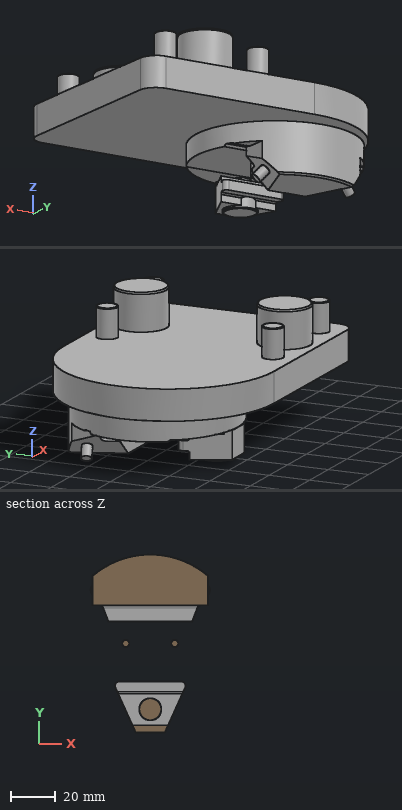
import cadquery as cq


PLATE_WIDTH = 104.0
PLATE_LENGTH = 139.0
PLATE_THICKNESS = 15.0
PLATE_CORNER_RADIUS = 8.3
FLANGE_RADIUS = 40.0
PLATE_END_RADIUS = PLATE_WIDTH / 2
PLATE_ARC_X = PLATE_END_RADIUS - FLANGE_RADIUS
PLATE_RIGHT_X = PLATE_LENGTH - FLANGE_RADIUS

BOSS_TO_PLATE_EDGE = 39.6
BOSS_X = PLATE_RIGHT_X - BOSS_TO_PLATE_EDGE
BOSS_Y = 35.5
BOSS_DIAMETER = 25.0
BOSS_HEIGHT = 18.5
BOSS_CHAMFER_HEIGHT = 0.9
BOSS_CHAMFER_INSET = 0.4
DOWEL_DX = 24.5
DOWEL_Y = 41.0
DOWEL_DIAMETER = 10.0
DOWEL_HEIGHT = 14.5
DOWEL_CHAMFER = 0.4

PAD_Z = -10.0
RIM_Z = -9.2
PAD_FRONT_Y = -20.8
PAD_BACK_Y = 15.6
PAD_SLOPE_RUN = 1.0
RELIEF_Z = -8.8
RELIEF_BACK_Y = 19.5

PAD_PIN_X = 11.0
PAD_PIN_DIAMETER = 3.3
PAD_PIN_Z = -16.0

FIXED_HALF_WIDTH = 26.0
FIXED_FACE_Y = 17.1
FIXED_LIP_Y = 9.8
FIXED_LIP_Z = -16.9
FIXED_BOTTOM_Z = -24.8
FIXED_STEP_FILLET = 1.0
FIXED_EDGE_CHAMFER = 0.9

FLANK_START_Z = -13.05
FLANK_FALL_X = 0.88
FLANK_FALL_Y = 1 / 3

STOP_PIN_DIAMETER = 5.0
STOP_PIN_LENGTH = 6.43
STOP_PIN_ROOT = 2.0
STOP_PIN_X = 20.8
STOP_PIN_Y = 25.1

MOVING_OUTER_Y = -40.0
MOVING_FACE_Y = -22.5
MOVING_OUTER_HALF_WIDTH = 6.6
MOVING_TAPER = 0.452
MOVING_TOP_Z = -10.9
MOVING_BOTTOM_Z = -22.95
HEEL_INNER_Y = -36.6

NOSE_TIP_Y = -17.0
NOSE_TOP_Z = -13.95
NOSE_BOTTOM_Z = -18.75
NOSE_CORNER_RADIUS = 2.0
NOSE_ROOT_CHAMFER = 0.8

PIVOT_Y = -29.5
PIVOT_DIAMETER = 16.0
PIVOT_BOTTOM_Z = -24.3
PIVOT_CHAMFER = 0.5
SPACER_DIAMETER = 10.0


def cylinder(x, y, diameter, z_low, z_high):
    """Upright cylinder between two heights."""
    return cq.Workplane("XY", origin=(x, y, z_low)).circle(diameter / 2).extrude(z_high - z_low)


def block(x_low, x_high, y_low, y_high, z_low, z_high):
    """Box between pairs of limits."""
    size = (x_high - x_low, y_high - y_low, z_high - z_low)
    return cq.Workplane("XY", origin=(x_low, y_low, z_low)).box(*size, centered=False)


def make_plate():
    plate = (
        cq.Workplane("XY")
        .moveTo(PLATE_ARC_X, PLATE_END_RADIUS)
        .threePointArc((-FLANGE_RADIUS, 0), (PLATE_ARC_X, -PLATE_END_RADIUS))
        .lineTo(PLATE_RIGHT_X, -PLATE_END_RADIUS)
        .lineTo(PLATE_RIGHT_X, PLATE_END_RADIUS)
        .close()
        .extrude(PLATE_THICKNESS)
    )
    return plate.edges("|Z and >X").fillet(PLATE_CORNER_RADIUS)


def add_top_posts(body):
    for side in (-1, 1):
        boss = cylinder(BOSS_X, side * BOSS_Y, BOSS_DIAMETER, 0, PLATE_THICKNESS + BOSS_HEIGHT)
        body = body.union(boss.faces(">Z").chamfer(BOSS_CHAMFER_HEIGHT, BOSS_CHAMFER_INSET))
        for end in (-1, 1):
            dowel_x = BOSS_X + end * DOWEL_DX
            dowel = cylinder(dowel_x, side * DOWEL_Y, DOWEL_DIAMETER, 0, PLATE_THICKNESS + DOWEL_HEIGHT)
            body = body.union(dowel.faces(">Z").chamfer(DOWEL_CHAMFER))
    return body


def make_flange():
    """Round flange trimmed below by a profile in Y and Z that leaves the raised pad."""
    profile = [
        (-FLANGE_RADIUS, 0),
        (-FLANGE_RADIUS, RIM_Z),
        (PAD_FRONT_Y - PAD_SLOPE_RUN, RIM_Z),
        (PAD_FRONT_Y, PAD_Z),
        (PAD_BACK_Y, PAD_Z),
        (PAD_BACK_Y + PAD_SLOPE_RUN, RELIEF_Z),
        (RELIEF_BACK_Y, RELIEF_Z),
        (RELIEF_BACK_Y, RIM_Z),
        (FLANGE_RADIUS, RIM_Z),
        (FLANGE_RADIUS, 0),
    ]
    section = cq.Workplane("YZ").polyline(profile).close().extrude(FLANGE_RADIUS, both=True)
    return section.intersect(cylinder(0, 0, 2 * FLANGE_RADIUS, PAD_Z, 0))


def flank_z(x, y):
    """Height of the flank plane at a distance x from the middle of the fixed jaw."""
    return FLANK_START_Z + FLANK_FALL_X * (x - FIXED_HALF_WIDTH) - FLANK_FALL_Y * (y - FIXED_FACE_Y)


def flank_plane(side):
    """Plane of one flank, centred under its stop pin, with its normal pointing out of the jaw."""
    return cq.Plane(
        origin=(side * STOP_PIN_X, STOP_PIN_Y, flank_z(STOP_PIN_X, STOP_PIN_Y)),
        xDir=(0, 1, -FLANK_FALL_Y),
        normal=(side * FLANK_FALL_X, -FLANK_FALL_Y, -1),
    )


def make_fixed_jaw():
    upper = block(
        -FIXED_HALF_WIDTH, FIXED_HALF_WIDTH, FIXED_FACE_Y, FLANGE_RADIUS, FIXED_BOTTOM_Z, 0
    )
    lip = block(
        -FIXED_HALF_WIDTH, FIXED_HALF_WIDTH, FIXED_LIP_Y, FLANGE_RADIUS, FIXED_BOTTOM_Z, FIXED_LIP_Z
    )
    step_edge = cq.selectors.NearestToPointSelector((0, FIXED_FACE_Y, FIXED_LIP_Z))
    jaw = upper.union(lip).edges(step_edge).fillet(FIXED_STEP_FILLET)
    envelope = cylinder(0, 0, 2 * FLANGE_RADIUS, FIXED_BOTTOM_Z, 0)
    jaw = jaw.intersect(envelope.faces("<Z").chamfer(FIXED_EDGE_CHAMFER))
    for side in (-1, 1):
        waste = cq.Workplane(flank_plane(side)).rect(2 * FLANGE_RADIUS, 2 * FLANGE_RADIUS)
        jaw = jaw.cut(waste.extrude(FLANGE_RADIUS))
    for side in (-1, 1):
        pin_root = cq.Workplane(flank_plane(side)).workplane(offset=-STOP_PIN_ROOT)
        pin = pin_root.circle(STOP_PIN_DIAMETER / 2).extrude(STOP_PIN_ROOT + STOP_PIN_LENGTH)
        jaw = jaw.union(pin)
    return jaw


def wedge(inner_y, z_low, z_high):
    """Layer of the moving jaw, widening from its outer end to inner_y."""
    inner_half_width = MOVING_OUTER_HALF_WIDTH + MOVING_TAPER * (inner_y - MOVING_OUTER_Y)
    outline = [
        (-MOVING_OUTER_HALF_WIDTH, MOVING_OUTER_Y),
        (MOVING_OUTER_HALF_WIDTH, MOVING_OUTER_Y),
        (inner_half_width, inner_y),
        (-inner_half_width, inner_y),
    ]
    return cq.Workplane("XY", origin=(0, 0, z_low)).polyline(outline).close().extrude(z_high - z_low)


def make_nose():
    """Tongue ahead of the moving jaw, flared above and below where it meets the block."""
    nose = wedge(NOSE_TIP_Y, NOSE_BOTTOM_Z, NOSE_TOP_Z)
    nose = nose.edges("|Z and >Y").fillet(NOSE_CORNER_RADIUS)
    root_y = MOVING_FACE_Y + NOSE_ROOT_CHAMFER
    flare_low = NOSE_BOTTOM_Z - NOSE_ROOT_CHAMFER
    flare_high = NOSE_TOP_Z + NOSE_ROOT_CHAMFER
    flare = wedge(root_y, flare_low, flare_high)
    return nose.union(flare.edges("|X and >Y").chamfer(NOSE_ROOT_CHAMFER))


def make_moving_jaw():
    jaw = wedge(MOVING_FACE_Y, MOVING_BOTTOM_Z, MOVING_TOP_Z).union(make_nose())
    jaw = jaw.union(wedge(HEEL_INNER_Y, MOVING_BOTTOM_Z, RIM_Z))
    pivot = cylinder(0, PIVOT_Y, PIVOT_DIAMETER, PIVOT_BOTTOM_Z, NOSE_BOTTOM_Z)
    jaw = jaw.union(pivot.faces("<Z").chamfer(PIVOT_CHAMFER))
    return jaw.union(cylinder(0, PIVOT_Y, SPACER_DIAMETER, MOVING_TOP_Z, RIM_Z))


result = add_top_posts(make_plate().union(make_flange()))
for pin_x in (-PAD_PIN_X, PAD_PIN_X):
    result = result.union(cylinder(pin_x, 0, PAD_PIN_DIAMETER, PAD_PIN_Z, 0))
result = result.union(make_fixed_jaw())
result = result.union(make_moving_jaw())